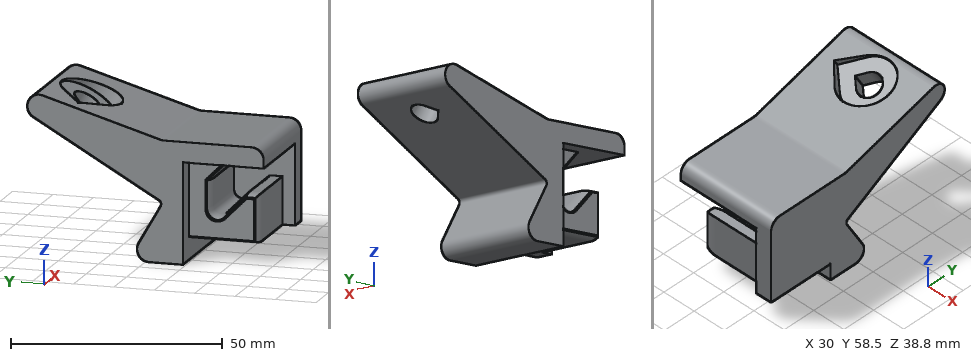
import cadquery as cq
import math

width = 30.0
length = 58.55
height = 38.8
wall = 5.0
body_top = 30.0
round_radius = 3.0
notch_radius = 1.0

lever_top_angle = math.radians(16.4)
lever_under_angle = math.radians(30)
tip_y = length - round_radius
tip_z = height - round_radius

heel_y = 28.4
heel_z = round_radius
heel_angle = math.radians(60)

pocket_depth = 20.0
pocket_top = body_top - wall
hook_front = 3.1
hook_top = 16.8
slot_back = 15.1
slot_radius = 2.0
slot_low_z = 12.7
slot_bend_z = 19.45
lead_length = 3.35
lead_drop = 0.5
lead_chamfer = 0.3
overlap = 2.9

seat_from_tip = 6.9
seat_floor = 5.4
seat_radius = 7.5
hole_radius = 3.4
cut_reach = 11.7


def rim_point(center_y, center_z, radius, angle):
    """Point on a circle in the YZ plane; the angle runs from +Y toward +Z."""
    return center_y + radius * math.cos(angle), center_z + radius * math.sin(angle)


def make_body():
    """Lever, roof and foot as one profile extruded across the full width."""
    tip_upper = math.pi / 2 + lever_top_angle
    tip_lower = lever_under_angle - math.pi / 2
    tip_start = rim_point(tip_y, tip_z, round_radius, tip_upper)
    tip_middle = rim_point(tip_y, tip_z, round_radius, (tip_upper + tip_lower) / 2)
    tip_end = rim_point(tip_y, tip_z, round_radius, tip_lower)

    heel_upper = math.pi / 2 - heel_angle
    heel_lower = -math.pi / 2
    heel_start = rim_point(heel_y, heel_z, round_radius, heel_upper)
    heel_middle = rim_point(heel_y, heel_z, round_radius, (heel_upper + heel_lower) / 2)

    kink_y = tip_start[0] - (tip_start[1] - body_top) / math.tan(lever_top_angle)
    under_slope = math.tan(lever_under_angle)
    back_slope = -math.tan(heel_angle)
    notch_y = (
        heel_start[1] - tip_end[1] + under_slope * tip_end[0] - back_slope * heel_start[0]
    ) / (under_slope - back_slope)
    notch_z = tip_end[1] + under_slope * (notch_y - tip_end[0])

    body = (
        cq.Workplane("YZ")
        .moveTo(0, pocket_top)
        .lineTo(0, body_top)
        .lineTo(kink_y, body_top)
        .lineTo(*tip_start)
        .threePointArc(tip_middle, tip_end)
        .lineTo(notch_y, notch_z)
        .lineTo(*heel_start)
        .threePointArc(heel_middle, (heel_y, 0))
        .lineTo(pocket_depth, 0)
        .lineTo(pocket_depth, pocket_top)
        .close()
        .extrude(width)
    )
    rounded_corners = (
        (0, body_top, round_radius),
        (kink_y, body_top, round_radius),
        (notch_y, notch_z, notch_radius),
    )
    for corner_y, corner_z, radius in rounded_corners:
        corner = cq.selectors.NearestToPointSelector((width / 2, corner_y, corner_z))
        body = body.edges(corner).fillet(radius)
    return body


def make_side_wall():
    """Wall closing the +X end of the pocket."""
    return cq.Workplane("XY").box(
        wall, pocket_depth + overlap, pocket_top - wall, centered=False
    ).translate((width - wall, 0, wall))


def draw_hook_edge():
    """Exposed edge of the hook, from the pocket back under the hook and up the slot to the roof."""
    slot_center_y = slot_back - slot_radius
    tangent = rim_point(slot_center_y, slot_low_z, slot_radius, math.radians(-135))
    middle = rim_point(slot_center_y, slot_low_z, slot_radius, math.radians(-67.5))
    barb_y = tangent[0] - (hook_top - tangent[1])
    end_z = pocket_top + overlap
    return (
        cq.Workplane("YZ", origin=(wall, 0, 0))
        .moveTo(pocket_depth + overlap, wall)
        .lineTo(hook_front, wall)
        .lineTo(hook_front, hook_top)
        .lineTo(barb_y, hook_top)
        .lineTo(*tangent)
        .threePointArc(middle, (slot_back, slot_low_z))
        .lineTo(slot_back, slot_bend_z)
        .lineTo(slot_back - (end_z - slot_bend_z), end_z)
    )


def make_hook():
    """S-shaped latch hook whose free end tapers inward along its whole exposed edge."""
    hook = (
        draw_hook_edge()
        .lineTo(pocket_depth + overlap, pocket_top + overlap)
        .close()
        .extrude(width - 2 * wall + overlap)
    )
    arc_radius = (lead_length**2 + lead_drop**2) / (2 * lead_drop)
    half_length = lead_length / 2
    arc_middle_drop = arc_radius - math.sqrt(arc_radius**2 - half_length**2)
    chamfer_x = wall + lead_chamfer
    taper = (
        cq.Workplane("XZ", origin=(0, pocket_depth + overlap, 0))
        .moveTo(wall, wall)
        .lineTo(wall, wall + lead_drop + lead_chamfer)
        .lineTo(chamfer_x, wall + lead_drop)
        .threePointArc(
            (chamfer_x + half_length, wall + arc_middle_drop),
            (chamfer_x + lead_length, wall),
        )
        .close()
        .sweep(draw_hook_edge().wire(), transition="right")
    )
    limits = cq.Workplane("XY").box(
        width, pocket_depth + overlap / 2, pocket_top + overlap / 2, centered=False
    )
    return hook.cut(taper).intersect(limits)


def make_teardrop(radius, start, depth):
    """Teardrop prism pointing to -X, measured from the underside of the lever along its normal."""
    normal_y = -math.sin(lever_under_angle)
    normal_z = math.cos(lever_under_angle)
    offset = start - round_radius
    seat_plane = cq.Plane(
        origin=(
            width / 2,
            tip_y - seat_from_tip * math.cos(lever_under_angle) + offset * normal_y,
            tip_z - seat_from_tip * math.sin(lever_under_angle) + offset * normal_z,
        ),
        xDir=(1, 0, 0),
        normal=(0, normal_y, normal_z),
    )
    tangent = radius * math.sqrt(0.5)
    return (
        cq.Workplane(seat_plane)
        .moveTo(-radius * math.sqrt(2), 0)
        .lineTo(-tangent, tangent)
        .threePointArc((radius, 0), (-tangent, -tangent))
        .close()
        .extrude(depth)
    )


result = (
    make_body()
    .union(make_side_wall())
    .union(make_hook())
    .cut(make_teardrop(seat_radius, seat_floor, cut_reach))
    .cut(make_teardrop(hole_radius, -overlap, cut_reach))
)